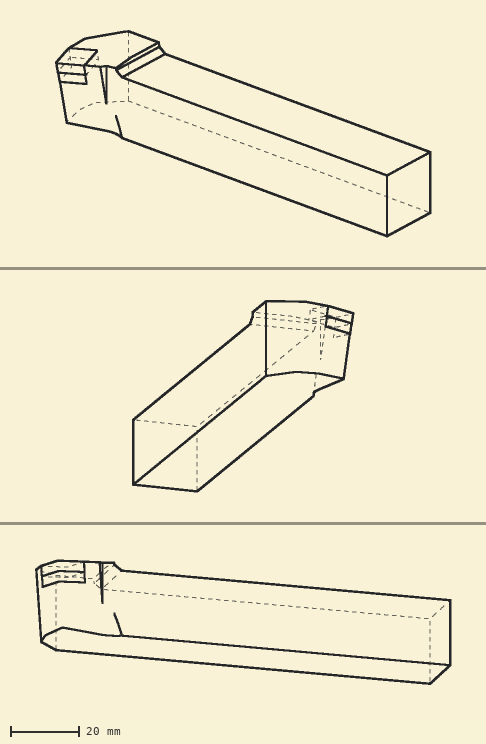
import cadquery as cq
import math

LENGTH = 124.8
SHANK_SIZE = 20.0

HEAD_HEIGHT = 23.0
HEAD_TOP_END = 21.2
STEP_FOOT_X = 21.5
STEP_FOOT_Z = 21.6
RAMP_END = 23.7
SHOULDER_X = 17.7
OVERHANG = 12.5

TILT_ANGLE = 8.4
RIDGE_SUM = 28.6

TIP_X = 2.2
TIP_Y = -5.1
EDGE_ANGLE = 15.0
BACK_CORNER_X = 9.7
BEVEL_END_X = 0.5
BEVEL_ROUND = 2.5
END_ROUND = 3.1
FLANK_LENGTH = 13.1
RELIEF_RADIUS = 9.0
PRISM_DEPTH = 49.9

INSERT_SIDE = 9.5
INSERT_THICKNESS = 3.1
PAD_THICKNESS = 3.1
NOSE_RADIUS = 0.6
SEAT_STEP = 0.06


def tilt(body):
    """Lean a flat-built body about the ridge line on the head top."""
    ridge_point = cq.Vector(RIDGE_SUM / 2, RIDGE_SUM / 2, HEAD_HEIGHT)
    ridge_end = ridge_point + cq.Vector(1.2, -1.2, 0)
    return body.rotate(ridge_point.toTuple(), ridge_end.toTuple(), TILT_ANGLE)


def from_tip(along, across):
    """Flat point measured from the sharp tip, along and across the cutting edge."""
    angle = math.radians(EDGE_ANGLE)
    return (
        TIP_X + along * math.cos(angle) - across * math.sin(angle),
        TIP_Y + along * math.sin(angle) + across * math.cos(angle),
    )


def square_plate(set_back, thickness, depth):
    """Tilted square plate with rounded corners; depth is the drop from the head top to its top face."""
    near = set_back
    far = INSERT_SIDE
    corners = [from_tip(near, near), from_tip(far, near), from_tip(far, far), from_tip(near, far)]
    plate = (
        cq.Workplane("XY", origin=(0, 0, HEAD_HEIGHT - depth))
        .polyline(corners).close()
        .extrude(-thickness)
        .edges("|Z").fillet(NOSE_RADIUS)
    )
    return tilt(plate)


def blank():
    """Shank with the raised head block, the step behind it and the upright 45 degree shoulder."""
    side = (
        cq.Workplane("XZ", origin=(0, SHANK_SIZE, 0))
        .moveTo(-OVERHANG, 0)
        .lineTo(LENGTH, 0)
        .lineTo(LENGTH, SHANK_SIZE)
        .lineTo(RAMP_END, SHANK_SIZE)
        .lineTo(STEP_FOOT_X, STEP_FOOT_Z)
        .lineTo(HEAD_TOP_END, HEAD_HEIGHT)
        .lineTo(-OVERHANG, HEAD_HEIGHT)
        .close()
        .extrude(SHANK_SIZE + OVERHANG)
    )
    plan = (
        cq.Workplane("XY")
        .moveTo(LENGTH, 0)
        .lineTo(LENGTH, SHANK_SIZE)
        .lineTo(-OVERHANG, SHANK_SIZE)
        .lineTo(-OVERHANG, -OVERHANG)
        .lineTo(SHOULDER_X - OVERHANG, -OVERHANG)
        .lineTo(SHOULDER_X, 0)
        .close()
        .extrude(HEAD_HEIGHT)
    )
    return side.intersect(plan)


def head_prism():
    """Tilted prism whose walls are the bevel, end face, insert flanks and scooped relief."""
    set_back = 2 * SEAT_STEP
    tip = from_tip(set_back, set_back)
    end_corner = from_tip(set_back, INSERT_SIDE)
    bevel_end = (BEVEL_END_X, SHANK_SIZE - (BACK_CORNER_X - BEVEL_END_X))
    flank_end = from_tip(FLANK_LENGTH, set_back)
    quarter = RELIEF_RADIUS * math.sqrt(0.5)
    relief_middle = from_tip(FLANK_LENGTH + quarter, set_back - RELIEF_RADIUS + quarter)
    relief_end = from_tip(FLANK_LENGTH + RELIEF_RADIUS, set_back - RELIEF_RADIUS)
    far_x = LENGTH + OVERHANG
    far_y = SHANK_SIZE + OVERHANG
    prism = (
        cq.Workplane("XY", origin=(0, 0, HEAD_HEIGHT))
        .moveTo(*tip)
        .lineTo(*flank_end)
        .threePointArc(relief_middle, relief_end)
        .lineTo(relief_end[0], -OVERHANG)
        .lineTo(far_x, -OVERHANG)
        .lineTo(far_x, far_y)
        .lineTo(BACK_CORNER_X + OVERHANG, far_y)
        .lineTo(*bevel_end)
        .lineTo(*end_corner)
        .close()
        .extrude(-PRISM_DEPTH)
    )

    def upright_edge(point):
        return cq.selectors.NearestToPointSelector((*point, HEAD_HEIGHT - PRISM_DEPTH / 2))

    rounds = [(bevel_end, BEVEL_ROUND), (end_corner, END_ROUND), (tip, NOSE_RADIUS)]
    for corner, radius in rounds:
        prism = prism.edges(upright_edge(corner)).fillet(radius)
    return tilt(prism)


insert = square_plate(0, INSERT_THICKNESS, 0)
seat_pad = square_plate(SEAT_STEP, PAD_THICKNESS, INSERT_THICKNESS)
holder = blank().intersect(head_prism()).union(seat_pad).cut(insert)

result = cq.Compound.makeCompound([holder.val(), insert.val()])